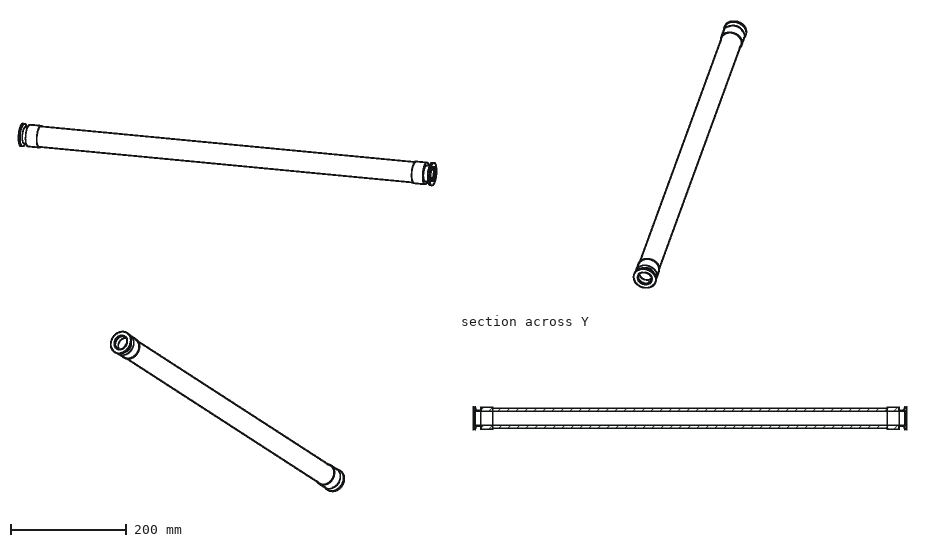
import cadquery as cq

total_length = 750.0
bore_diameter = 24.0

flange_diameter = 40.0
rim_thickness = 3.0
flange_thickness = 5.0
neck_diameter = 28.5
recess_diameter = 25.5
recess_depth = 3.0

collar_diameter = 38.0
collar_offset = 13.0
collar_length = 20.0

tube_diameter = 36.0

collar_inner_end = collar_offset + collar_length
half_length = total_length / 2


def ring(start, length, outer_diameter, inner_diameter):
    """Hollow cylinder along X, beginning at the given X position."""
    return (
        cq.Workplane("YZ", origin=(start, 0, 0))
        .circle(outer_diameter / 2)
        .circle(inner_diameter / 2)
        .extrude(length)
    )


def make_tube():
    """Plain tube between the two collars."""
    length = total_length - 2 * collar_inner_end
    return ring(-length / 2, length, tube_diameter, bore_diameter)


def make_flange():
    """Left end fitting: recessed mouth, rim, sloping back and a neck ending at the collar face."""
    bore_radius = bore_diameter / 2
    recess_radius = recess_diameter / 2
    rim_radius = flange_diameter / 2
    neck_radius = neck_diameter / 2
    profile = [
        (-half_length + recess_depth, bore_radius),
        (-half_length + recess_depth, recess_radius),
        (-half_length, recess_radius),
        (-half_length, rim_radius),
        (-half_length + rim_thickness, rim_radius),
        (-half_length + flange_thickness, neck_radius),
        (-half_length + collar_offset, neck_radius),
        (-half_length + collar_offset, bore_radius),
    ]
    return cq.Workplane("XZ").polyline(profile).close().revolve(360, (0, 0, 0), (1, 0, 0))


def make_collar():
    """Left collar between the neck and the tube."""
    return ring(-half_length + collar_offset, collar_length, collar_diameter, bore_diameter)


tube = make_tube()
end_bodies = []
for turn in (0, 180):
    for body in (make_flange(), make_collar()):
        end_bodies.append(body.rotate((0, 0, 0), (0, 0, 1), turn).val())

result = cq.Compound.makeCompound([tube.val(), *end_bodies])